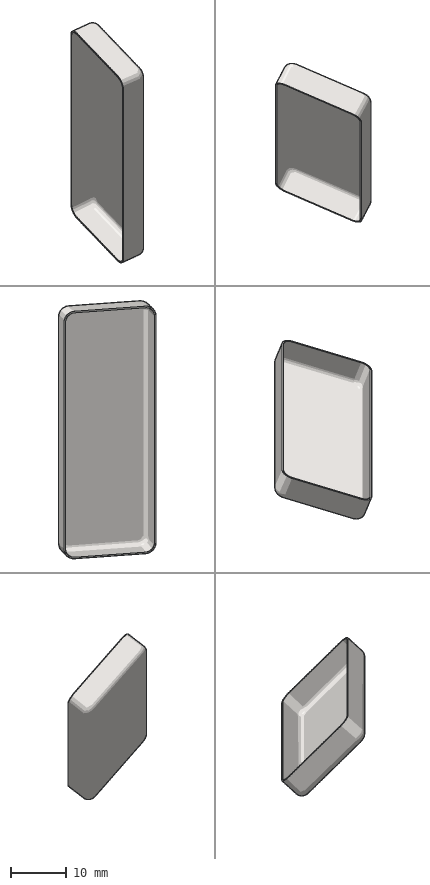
import cadquery as cq

WIDTH = 17.3
DEPTH = 5.0
HEIGHT = 46.6

WALL = 0.3
CORNER_RADIUS = 2.0
BACK_EDGE_RADIUS = 1.3


def rounded_block(width, height, front_y, back_y, corner_radius, edge_radius):
    """Block with rounded corners along Y and a rounded edge around its +Y face."""
    block = (
        cq.Workplane("XY")
        .box(width, back_y - front_y, height)
        .translate((0, (front_y + back_y) / 2, 0))
    )
    return block.edges("|Y").fillet(corner_radius).faces(">Y").edges().fillet(edge_radius)


shell = rounded_block(WIDTH, HEIGHT, 0, DEPTH, CORNER_RADIUS, BACK_EDGE_RADIUS)

cavity = rounded_block(
    WIDTH - 2 * WALL,
    HEIGHT - 2 * WALL,
    0,
    DEPTH - WALL,
    CORNER_RADIUS - WALL,
    BACK_EDGE_RADIUS - WALL,
)

result = shell.cut(cavity)